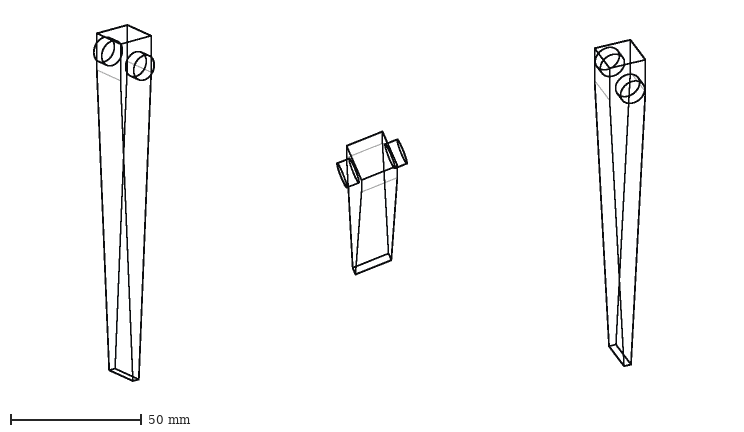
import cadquery as cq

total_height = 139.8
head_size = 15.0
tip_thickness = 3.0
pin_length = 25.0
pin_diameter = 10.0
pin_depth = 9.9


def make_tapered_bar():
    """Cube-shaped head above a blade that thins in Y towards its tip."""
    half_head = head_size / 2
    half_tip = tip_thickness / 2
    taper_start = total_height - head_size
    profile = [
        (-half_tip, 0),
        (half_tip, 0),
        (half_head, taper_start),
        (half_head, total_height),
        (-half_head, total_height),
        (-half_head, taper_start),
    ]
    return cq.Workplane("YZ").polyline(profile).close().extrude(half_head, both=True)


def make_pivot_pin():
    """Round pin along X, standing out equally on both sides of the head."""
    return (
        cq.Workplane("YZ")
        .center(0, total_height - pin_depth)
        .circle(pin_diameter / 2)
        .extrude(pin_length / 2, both=True)
    )


result = make_tapered_bar().union(make_pivot_pin())